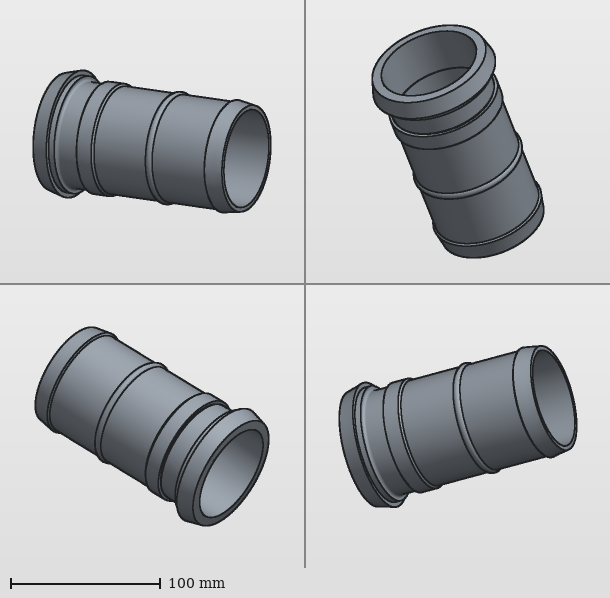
import cadquery as cq

overall_length = 140.0
face_dish = 0.4
head_end = 11.9
shoulder_end = 16.1
neck_fillet = 2.1
neck_chamfer = 0.8
neck_chamfer_depth = 0.4
joint_x = 31.9
collar_end = 43.0
collar_chamfer = 1.4
bead_centre = 85.4
bead_width = 5.0
barb_length = 12.0
barb_chamfer = 1.0

liner_bore_radius = 33.3
head_front_radius = 39.9
head_radius = 86.0 / 2
shoulder_radius = 79.2 / 2
neck_radius = 72.0 / 2
tail_bore_radius = 66.0 / 2
tube_radius = 73.0 / 2
collar_radius = 76.0 / 2
barb_tip_radius = neck_radius


def revolve_about_x(profile):
    """Revolve a closed profile, drawn as (axial, radial), about the X axis."""
    return profile.close().revolve(360, (0, 0, 0), (1, 0, 0))


def make_liner():
    """Liner with a tapered head, a shoulder and a plain neck."""
    fillet_offset = neck_fillet * (1 - 0.5 ** 0.5)
    profile = (
        cq.Workplane("XY")
        .moveTo(0, liner_bore_radius)
        .lineTo(face_dish, head_front_radius)
        .lineTo(head_end, head_radius)
        .lineTo(head_end, shoulder_radius)
        .lineTo(shoulder_end, shoulder_radius)
        .lineTo(shoulder_end, neck_radius + neck_fillet)
        .threePointArc(
            (shoulder_end + fillet_offset, neck_radius + fillet_offset),
            (shoulder_end + neck_fillet, neck_radius),
        )
        .lineTo(joint_x - neck_chamfer, neck_radius)
        .lineTo(joint_x, neck_radius - neck_chamfer_depth)
        .lineTo(joint_x, liner_bore_radius)
    )
    return revolve_about_x(profile)


def make_hose_tail():
    """Hose tail with a collar, a rounded bead and a tapered end barb."""
    barb_start = overall_length - barb_length
    profile = (
        cq.Workplane("XY")
        .moveTo(joint_x, tail_bore_radius)
        .lineTo(joint_x, collar_radius)
        .lineTo(collar_end, collar_radius)
        .lineTo(collar_end + collar_chamfer, tube_radius)
        .lineTo(bead_centre - bead_width / 2, tube_radius)
        .threePointArc(
            (bead_centre, collar_radius),
            (bead_centre + bead_width / 2, tube_radius),
        )
        .lineTo(barb_start - barb_chamfer, tube_radius)
        .lineTo(barb_start, collar_radius)
        .lineTo(overall_length, barb_tip_radius)
        .lineTo(overall_length, tail_bore_radius)
    )
    return revolve_about_x(profile)


liner = make_liner()
hose_tail = make_hose_tail()

result = cq.Compound.makeCompound([liner.val(), hose_tail.val()])